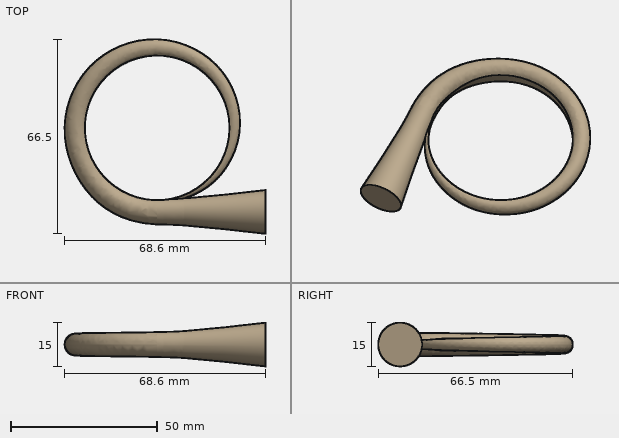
import cadquery as cq
import math

BORE_RADIUS = 24.65
COIL_HEIGHT = 20.6

HORN_LENGTH = 37.0
HORN_AXIS_Y = -28.7
THROAT_RADIUS = 4.3
BELL_RADIUS = 7.515
FLARE_X = 15.4
FLARE_RADIUS = 5.15
BELL_SLOPE = 0.11

COIL_SECTIONS = [
    (0, THROAT_RADIUS - HORN_AXIS_Y, THROAT_RADIUS),
    (45, 32.3, 4.05),
    (90, 31.6, 3.8),
    (135, 31.0, 3.4),
    (180, 30.25, 3.1),
    (225, 29.45, 2.75),
    (270, 28.3, 2.3),
    (315, 26.7, 1.8),
    (335, 25.95, 1.45),
    (355, 25.5, 1.25),
]


def coil_section(travel, outer_reach, tube_radius):
    """Circular wire standing across the coil's path."""
    angle = math.radians(-90 - travel)
    centre_radius = outer_reach - tube_radius
    centre = cq.Vector(centre_radius * math.cos(angle), centre_radius * math.sin(angle), 0)
    path_direction = cq.Vector(math.sin(angle), -math.cos(angle), 0)
    return cq.Wire.makeCircle(tube_radius, centre, path_direction)


def make_coil():
    """Tapering tube that shrinks towards its tip, where it runs into the horn."""
    return cq.Workplane(cq.Solid.makeLoft([coil_section(*section) for section in COIL_SECTIONS]))


def make_horn():
    """Solid of revolution that leaves the throat straight and flares to the bell."""
    return (
        cq.Workplane("XY", origin=(0, HORN_AXIS_Y, 0))
        .lineTo(0, THROAT_RADIUS)
        .spline(
            [(FLARE_X, FLARE_RADIUS), (HORN_LENGTH, BELL_RADIUS)],
            tangents=[(1, 0), (1, BELL_SLOPE)],
            includeCurrent=True,
        )
        .lineTo(HORN_LENGTH, 0)
        .close()
        .revolve(360, (0, 0, 0), (1, 0, 0))
    )


bore = cq.Workplane("XY").circle(BORE_RADIUS).extrude(COIL_HEIGHT / 2, both=True)

result = make_coil().union(make_horn()).cut(bore)